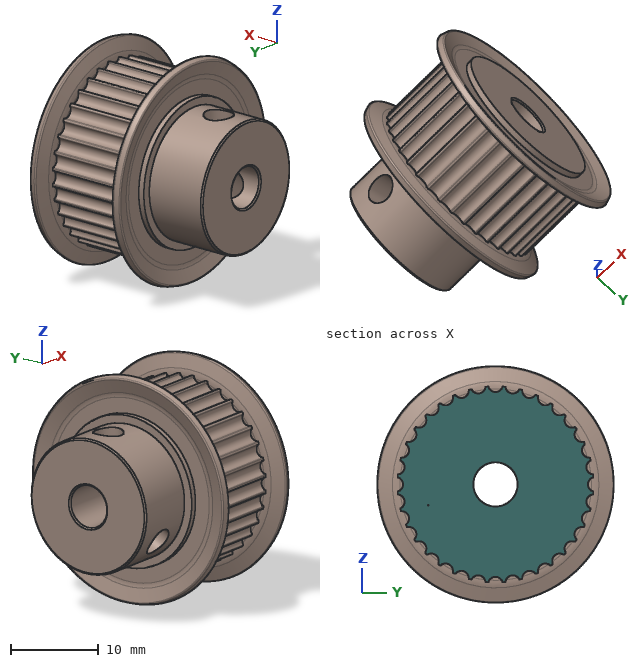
import cadquery as cq
import math

overall_length = 21.0
hub_length = 7.7
hub_radius = 16.0 / 2
hub_edge_chamfer = 0.2

bore_radius = 5.0 / 2
bore_chamfer = 0.2

screw_hole_diameter = 3.5
screw_hole_offset = 4.0
screw_hole_angles = (0, 120)

tooth_count = 36
tooth_tip_radius = 11.16
tooth_face_width = 9.9
groove_width = 1.6
groove_depth = 0.65
tooth_tip_fillet = 0.08

collar_radius = 18.0 / 2
flange_radius = 13.45
flange_thickness = 0.97
flange_bend_start = 10.87
flange_bend_radius = 1.83
flange_angle = math.radians(18)
flange_edge_fillet = 0.15

cutter_clearance = 0.27

hub_face_x = -overall_length / 2
body_start_x = hub_face_x + hub_length
body_end_x = overall_length / 2
body_middle_x = (body_start_x + body_end_x) / 2
web_inner_x = body_middle_x - tooth_face_width / 2
web_outer_x = web_inner_x - flange_thickness


def cylinder(radius, start_x, end_x):
    """Cylinder on the pulley axis between two X positions."""
    return cq.Workplane("YZ", origin=(start_x, 0, 0)).circle(radius).extrude(end_x - start_x)


def bend_point(radius, start_x, angle):
    """Point (x, r) on a web bend of the given radius, after turning by angle."""
    x = start_x - radius * (1 - math.cos(angle))
    r = flange_bend_start + radius * math.sin(angle)
    return x, r


def make_flange():
    """Hub-side flange: a sheet ring with a flat web and a rim bent outwards."""
    inner_bend_radius = flange_bend_radius + flange_thickness
    outer_mid = bend_point(flange_bend_radius, web_outer_x, flange_angle / 2)
    outer_end = bend_point(flange_bend_radius, web_outer_x, flange_angle)
    inner_mid = bend_point(inner_bend_radius, web_inner_x, flange_angle / 2)
    inner_end = bend_point(inner_bend_radius, web_inner_x, flange_angle)

    crest_setback = flange_edge_fillet * (math.cos(flange_angle) + math.sin(flange_angle) - 1)
    rim_inner_r = flange_radius + crest_setback
    rim_inner_x = inner_end[0] - (rim_inner_r - inner_end[1]) * math.tan(flange_angle)
    rim_outer_x = rim_inner_x - flange_thickness * math.cos(flange_angle)
    rim_outer_r = rim_inner_r - flange_thickness * math.sin(flange_angle)

    profile = (
        cq.Workplane("XY")
        .moveTo(web_outer_x, 0)
        .lineTo(web_outer_x, flange_bend_start)
        .threePointArc(outer_mid, outer_end)
        .lineTo(rim_outer_x, rim_outer_r)
        .lineTo(rim_inner_x, rim_inner_r)
        .lineTo(*inner_end)
        .threePointArc(inner_mid, (web_inner_x, flange_bend_start))
        .lineTo(web_inner_x, 0)
        .close()
    )
    flange = profile.revolve(360, (0, 0, 0), (1, 0, 0))
    two_largest = cq.selectors.RadiusNthSelector(-1) + cq.selectors.RadiusNthSelector(-2)
    return flange.edges(two_largest).fillet(flange_edge_fillet)


def make_toothed_rim():
    """Toothed cylinder with round-bottomed grooves between narrow lands."""
    rim = cylinder(tooth_tip_radius, web_inner_x, web_inner_x + tooth_face_width)
    half_width = groove_width / 2
    mouth_radius = math.sqrt(tooth_tip_radius**2 - half_width**2)
    floor_radius = tooth_tip_radius - groove_depth
    clearance_radius = tooth_tip_radius + cutter_clearance
    groove = (
        cq.Workplane("YZ", origin=(web_inner_x, 0, 0))
        .moveTo(-half_width, mouth_radius)
        .threePointArc((0, floor_radius), (half_width, mouth_radius))
        .lineTo(half_width, clearance_radius)
        .lineTo(-half_width, clearance_radius)
        .close()
        .extrude(tooth_face_width)
    )
    pitch_angle = 360 / tooth_count
    grooves = [groove.rotate((0, 0, 0), (1, 0, 0), i * pitch_angle).val() for i in range(tooth_count)]
    rim = cq.Workplane(rim.val().cut(*grooves))
    return rim.edges("|X").fillet(tooth_tip_fillet)


def make_screw_hole(angle):
    """Radial set-screw hole cutter from the axis out through the hub wall."""
    cutter = (
        cq.Workplane("XY", origin=(hub_face_x + screw_hole_offset, 0, 0))
        .circle(screw_hole_diameter / 2)
        .extrude(hub_radius + cutter_clearance)
    )
    return cutter.rotate((0, 0, 0), (1, 0, 0), angle)


flange = make_flange()
hub = cylinder(hub_radius, hub_face_x, body_middle_x).faces("<X").chamfer(hub_edge_chamfer)
collar = cylinder(collar_radius, body_start_x, body_end_x)

result = make_toothed_rim().union(collar).union(hub)
result = result.union(flange).union(flange.mirror("YZ", (body_middle_x, 0, 0)))

bore = cylinder(bore_radius, hub_face_x, body_end_x)
result = result.cut(bore)
result = result.faces("<X or >X").edges(cq.selectors.RadiusNthSelector(0)).chamfer(bore_chamfer)

for hole_angle in screw_hole_angles:
    result = result.cut(make_screw_hole(hole_angle))